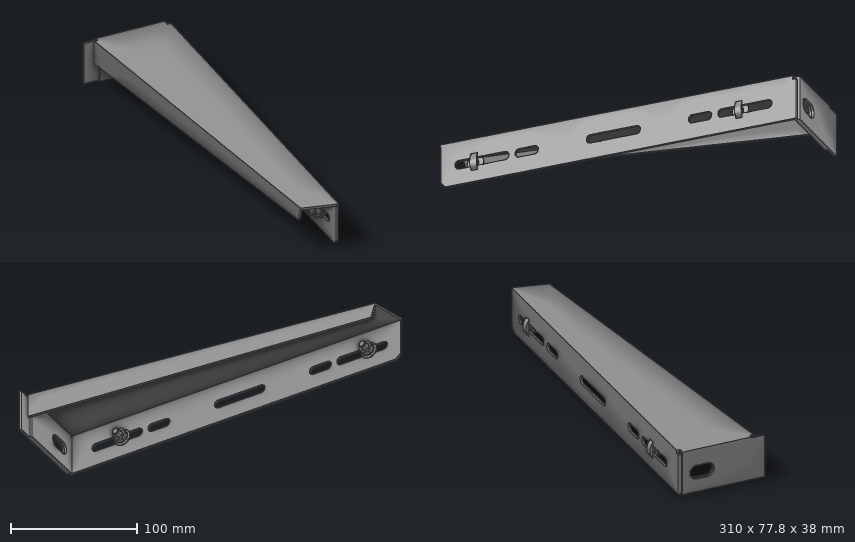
import cadquery as cq
import math


LENGTH = 310.0
HEIGHT = 38.0
SHEET = 2.0
END_PLATE_REACH = 75.0
ROOT_DEPTH = 66.5
TIP_DEPTH = 30.0
TIP_FRONT_X = 303.2
TIP_STRAIGHT = 1.5
FLANGE_START_X = 2.95
FLANGE_ROOT_Z = 17.0
FLANGE_TIP_Z = 25.5
FLANGE_TIP_SETBACK = 3.7
WALL_CHAMFER = 4.0
WALL_TIP_INSET = 0.5
RETURN_REACH = 62.0
CORNER_RELIEF = 3.0
TAB_NOTCH_Y = -63.5
TAB_DROP = 1.0

SLOT_Z = 17.5
SLOT_WIDTH = 7.5
LONG_SLOT = 46.8
SHORT_SLOT = 20.0
SLOT_ROW_MIDDLE = 160.0
LONG_SLOT_OFFSET = 113.8
SHORT_SLOT_OFFSET = 75.0
END_SLOT_LENGTH = 21.5
END_SLOT_WIDTH = 12.0
END_SLOT_STEP = 0.3
END_SLOT_Y = -20.0

FASTENER_XS = (51.0, 280.2)
BOLT_DIAMETER = 6.0
BOLT_REACH = 13.0
BOLT_TIP_CHAMFER = 0.5
HEAD_HEIGHT = 2.8
HEAD_LENGTH = 15.0
HEAD_BASE_WIDTH = 5.3
HEAD_TOP_WIDTH = 6.0
NUT_FLANGE_DIAMETER = 14.3
NUT_FLANGE_TOP_DIAMETER = 11.2
NUT_FLANGE_RIM = 0.5
NUT_FLANGE_HEIGHT = 1.2
NUT_ACROSS_FLATS = 10.0
NUT_HEIGHT = 6.0
NUT_COUNTERSINK = 0.5


def box(x_range, y_range, z_range):
    """Box between pairs of limits along X, Y and Z."""
    sizes = [high - low for low, high in (x_range, y_range, z_range)]
    return cq.Workplane("XY").box(*sizes, centered=False).translate((x_range[0], y_range[0], z_range[0]))


def make_top_plate():
    return (
        cq.Workplane("XY", origin=(0, 0, HEIGHT - SHEET))
        .polyline([
            (0, 0),
            (0, TAB_NOTCH_Y),
            (FLANGE_START_X, TAB_NOTCH_Y),
            (FLANGE_START_X, -ROOT_DEPTH),
            (TIP_FRONT_X, -TIP_DEPTH),
            (LENGTH, -TIP_STRAIGHT),
            (LENGTH, 0),
        ])
        .close()
        .extrude(SHEET)
    )


def make_back_wall():
    """Upright wall with a chamfered lower corner at its tip."""
    return (
        box((SHEET, LENGTH - WALL_TIP_INSET), (-SHEET, 0), (0, HEIGHT - SHEET))
        .edges("|Y and >X and <Z")
        .chamfer(WALL_CHAMFER)
    )


def make_return_flange():
    """End of the back wall, folded forward to lie against the inside of the end plate."""
    return box((SHEET, 2 * SHEET), (-RETURN_REACH, 0), (0, HEIGHT - SHEET))


def make_end_plate():
    plate = box((0, SHEET), (-END_PLATE_REACH, -CORNER_RELIEF), (0, HEIGHT))
    above_tab = box((0, SHEET), (-END_PLATE_REACH, TAB_NOTCH_Y), (HEIGHT - TAB_DROP, HEIGHT))
    return plate.cut(above_tab)


def make_front_flange():
    """Tapered flange below the slanted front edge of the top plate."""
    run = TIP_FRONT_X - FLANGE_START_X
    rise = ROOT_DEPTH - TIP_DEPTH
    slant_length = math.hypot(run, rise)
    plane = cq.Plane(
        origin=(FLANGE_START_X, -ROOT_DEPTH, 0), xDir=(run, rise, 0), normal=(rise, -run, 0)
    )
    return (
        cq.Workplane(plane)
        .polyline([
            (0, FLANGE_ROOT_Z),
            (slant_length - FLANGE_TIP_SETBACK, FLANGE_TIP_Z),
            (slant_length, HEIGHT),
            (0, HEIGHT),
        ])
        .close()
        .extrude(-SHEET)
    )


def make_corner_relief():
    return box((0, SHEET + CORNER_RELIEF), (-CORNER_RELIEF, 0), (HEIGHT - CORNER_RELIEF, HEIGHT))


def make_wall_slots():
    slots = cq.Workplane("XZ")
    for length, offsets in (
        (LONG_SLOT, (-LONG_SLOT_OFFSET, 0, LONG_SLOT_OFFSET)),
        (SHORT_SLOT, (-SHORT_SLOT_OFFSET, SHORT_SLOT_OFFSET)),
    ):
        centres = [(SLOT_ROW_MIDDLE + offset, SLOT_Z) for offset in offsets]
        slots = slots.add(cq.Workplane("XZ").pushPoints(centres).slot2D(length, SLOT_WIDTH).extrude(SHEET))
    return slots.combine()


def make_end_slot():
    """Slot through the end plate, slightly narrower where it goes on through the return flange."""
    slots = cq.Workplane("YZ", origin=(0, END_SLOT_Y, SLOT_Z))
    outer = slots.slot2D(END_SLOT_LENGTH, END_SLOT_WIDTH).extrude(SHEET)
    inner = slots.slot2D(
        END_SLOT_LENGTH - 2 * END_SLOT_STEP, END_SLOT_WIDTH - 2 * END_SLOT_STEP
    ).extrude(2 * SHEET)
    return outer.union(inner)


def make_bracket():
    return (
        make_top_plate()
        .union(make_back_wall())
        .union(make_return_flange())
        .union(make_end_plate())
        .union(make_front_flange())
        .cut(make_corner_relief())
        .cut(make_wall_slots())
        .cut(make_end_slot())
    )


def make_bolt(x):
    """Bolt along Y: a narrow domed head outside the back wall and a shank reaching inward."""
    head_arc = (
        cq.Workplane("YZ")
        .moveTo(0, -HEAD_LENGTH / 2)
        .threePointArc((HEAD_HEIGHT, 0), (0, HEAD_LENGTH / 2))
        .close()
        .extrude(HEAD_TOP_WIDTH / 2, both=True)
    )
    head_sides = (
        cq.Workplane("XY")
        .polyline([
            (-HEAD_BASE_WIDTH / 2, 0),
            (HEAD_BASE_WIDTH / 2, 0),
            (HEAD_TOP_WIDTH / 2, HEAD_HEIGHT),
            (-HEAD_TOP_WIDTH / 2, HEAD_HEIGHT),
        ])
        .close()
        .extrude(HEAD_LENGTH / 2, both=True)
    )
    shank = (
        cq.Workplane("XZ")
        .circle(BOLT_DIAMETER / 2)
        .extrude(BOLT_REACH)
        .faces("<Y")
        .chamfer(BOLT_TIP_CHAMFER)
    )
    return head_arc.intersect(head_sides).union(shank).translate((x, 0, SLOT_Z))


def make_nut(x):
    """Hexagon nut with a conical flange seated on the inner face of the back wall."""
    flange = (
        cq.Workplane("XY")
        .polyline([
            (0, 0),
            (NUT_FLANGE_DIAMETER / 2, 0),
            (NUT_FLANGE_DIAMETER / 2, -NUT_FLANGE_RIM),
            (NUT_FLANGE_TOP_DIAMETER / 2, -NUT_FLANGE_HEIGHT),
            (0, -NUT_FLANGE_HEIGHT),
        ])
        .close()
        .revolve(360, (0, 0, 0), (0, 1, 0))
    )
    across_corners = NUT_ACROSS_FLATS / math.cos(math.pi / 6)
    hexagon = cq.Workplane("XZ").polygon(6, across_corners).extrude(NUT_HEIGHT)
    bore = cq.Workplane("XZ").circle(BOLT_DIAMETER / 2).extrude(NUT_HEIGHT)
    nut = flange.union(hexagon).cut(bore)
    nut = nut.faces("<Y").edges("%CIRCLE").chamfer(NUT_COUNTERSINK)
    return nut.translate((x, -SHEET, SLOT_Z))


bracket = make_bracket()
bolts = [make_bolt(x).val() for x in FASTENER_XS]
nuts = [make_nut(x).val() for x in FASTENER_XS]

result = cq.Compound.makeCompound([bracket.val(), *bolts, *nuts])